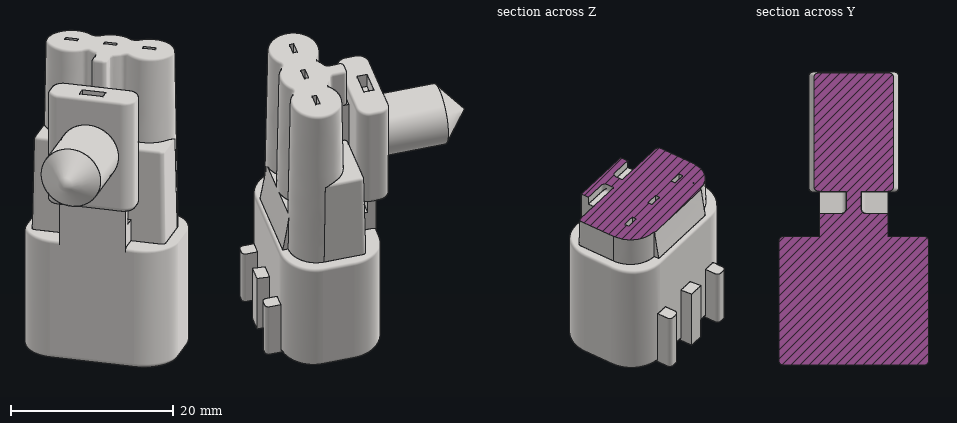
import cadquery as cq
import math

EDGE_R = 0.5
DRAFT_ANGLE = 1.0
DRAFT_SLOPE = math.tan(math.radians(DRAFT_ANGLE))

SHELL_X = 19.5
SHELL_Y = 12.75
SHELL_TOP = 15.95
SHELL_CORNER_R = 4.35
SHELL_FRONT = -SHELL_Y / 2
SHELL_BACK = SHELL_Y / 2

TOP_Z = 39.65
TOWER_H = TOP_Z - SHELL_TOP
LOBE_PITCH = 5.0
LOBE_Y = 1.6
LOBE_TOP_R = 3.17
LOBE_BASE_R = LOBE_TOP_R + TOWER_H * DRAFT_SLOPE
CUSP_BASE_R = 0.28
TERMINAL_SLOT_X = 1.6
TERMINAL_SLOT_Y = 0.55

BLOCK_TOP = 28.35
BLOCK_FRONT = -3.9
BLOCK_X = 2 * (LOBE_PITCH + LOBE_BASE_R)

WEDGE_X = 2 * LOBE_PITCH
WEDGE_TOP = 21.4
WEDGE_TOP_Y = 5.05
WEDGE_MID_Y = 5.35
WEDGE_MID_Z = 19.05
WEDGE_FOOT_Y = SHELL_BACK - EDGE_R

RIB_X = 1.9
RIB_FRONT = -3.65
RIB_STEP_Z = 34.1

PLATE_X = 11.1
PLATE_BACK = -3.8
PLATE_FRONT = -7.93
PLATE_BOTTOM = 21.37
PLATE_TOP = 36.2
PLATE_CORNER_R = 1.45
PLATE_SLOT_X = 3.0
PLATE_SLOT_Y = 1.3
PLATE_SLOT_DEPTH = 2.0
PLATE_SLOT_CENTRE_Y = -6.23
POST_D = 7.65
POST_Z = (PLATE_BOTTOM + PLATE_TOP) / 2
POST_SHOULDER = -15.8
POST_TIP = -19.0

WEB_X = 8.5
WEB_WALL = 1.1
WEB_TOP = PLATE_BOTTOM + EDGE_R
POCKET_FLOOR = 18.75

TAB_BACK = 8.33
TAB_X = 1.63
TAB_OFFSET = 5.1
TAB_TOP = 7.85
LATCH_X = 2.0
LATCH_BACK = 8.0
LATCH_TOP = 8.35
LATCH_DROP = 0.15


def box(x_size, y_min, y_max, z_min, z_max, x_centre=0.0):
    """Box centred on x_centre between the given Y and Z limits."""
    base = cq.Workplane("XY").box(x_size, y_max - y_min, z_max - z_min, centered=(True, False, False))
    return base.translate((x_centre, y_min, z_min))


def make_shell():
    shell = box(SHELL_X, SHELL_FRONT, SHELL_BACK, 0, SHELL_TOP)
    shell = shell.edges("|Z").fillet(SHELL_CORNER_R)
    return shell.faces("<Z or >Z").edges().fillet(EDGE_R)


def make_web():
    """Web flush with the shell front, hollowed behind its front wall on both sides of the rib."""
    web = box(WEB_X, SHELL_FRONT, BLOCK_FRONT + EDGE_R, EDGE_R, WEB_TOP)
    pocket_x = (WEB_X - RIB_X) / 2
    for side in (-1, 1):
        pocket_centre = side * (RIB_X / 2 + pocket_x)
        pocket = box(2 * pocket_x, SHELL_FRONT + WEB_WALL, 0, POCKET_FLOOR, TOP_Z, pocket_centre)
        inner_face = "<X" if side > 0 else ">X"
        pocket = pocket.faces(inner_face).edges("<Y or <Z").fillet(EDGE_R)
        web = web.cut(pocket)
    return web


def make_towers():
    """Drafted row of three round towers whose cusps are rounded."""
    half_pitch = LOBE_PITCH / 2
    reach = LOBE_BASE_R + CUSP_BASE_R
    cusp_y = math.sqrt(reach**2 - half_pitch**2)
    touch_x = half_pitch * LOBE_BASE_R / reach
    touch_y = cusp_y * LOBE_BASE_R / reach
    cusp_bottom = cusp_y - CUSP_BASE_R
    outer_x = LOBE_PITCH - touch_x
    end_x = LOBE_PITCH + LOBE_BASE_R

    outline = (
        cq.Workplane("XY", origin=(0, LOBE_Y, SHELL_TOP))
        .moveTo(-touch_x, touch_y)
        .threePointArc((0, LOBE_BASE_R), (touch_x, touch_y))
        .threePointArc((half_pitch, cusp_bottom), (outer_x, touch_y))
        .threePointArc((end_x, 0), (outer_x, -touch_y))
        .threePointArc((half_pitch, -cusp_bottom), (touch_x, -touch_y))
        .threePointArc((0, -LOBE_BASE_R), (-touch_x, -touch_y))
        .threePointArc((-half_pitch, -cusp_bottom), (-outer_x, -touch_y))
        .threePointArc((-end_x, 0), (-outer_x, touch_y))
        .threePointArc((-half_pitch, cusp_bottom), (-touch_x, touch_y))
        .close()
    )
    return outline.extrude(TOWER_H, taper=DRAFT_ANGLE)


def make_upper_body():
    """Towers and rib, blended together and rounded along the top rim."""
    rib = box(RIB_X, RIB_FRONT, LOBE_Y, SHELL_TOP, TOP_Z)
    rib = rib.edges("|Z and <Y").fillet(EDGE_R)
    body = make_towers().union(rib)
    root_low = (-RIB_X / 2 - 0.25, LOBE_Y - LOBE_BASE_R, SHELL_TOP + EDGE_R)
    root_high = (RIB_X / 2 + 0.25, LOBE_Y - LOBE_BASE_R / 2, TOP_Z - EDGE_R)
    body = body.edges(cq.selectors.BoxSelector(root_low, root_high)).fillet(EDGE_R)
    body = body.faces(">Z").edges().fillet(EDGE_R)
    rib_step = box(RIB_X, PLATE_BACK - EDGE_R, LOBE_Y, SHELL_TOP, RIB_STEP_Z)
    return body.union(rib_step)


def make_block():
    """Drafted block with rounded front corners and rounded top edges."""
    depth = LOBE_Y - BLOCK_FRONT
    block = (
        cq.Workplane("XY", origin=(0, BLOCK_FRONT + depth / 2, SHELL_TOP))
        .rect(BLOCK_X, depth)
        .extrude(BLOCK_TOP - SHELL_TOP, taper=DRAFT_ANGLE)
    )
    front_edges = block.faces("<Y").edges("not <Z")
    side_top_edges = block.faces(">Z").edges("<X or >X")
    return front_edges.add(side_top_edges).fillet(EDGE_R)


def make_wedge():
    profile = (
        cq.Workplane("YZ", origin=(-WEDGE_X / 2, 0, 0))
        .moveTo(LOBE_Y, SHELL_TOP)
        .lineTo(WEDGE_FOOT_Y, SHELL_TOP)
        .threePointArc((WEDGE_MID_Y, WEDGE_MID_Z), (WEDGE_TOP_Y, WEDGE_TOP))
        .lineTo(LOBE_Y, WEDGE_TOP)
        .close()
    )
    return profile.extrude(WEDGE_X)


def make_plate():
    plate = box(PLATE_X, PLATE_FRONT, PLATE_BACK, PLATE_BOTTOM, PLATE_TOP)
    plate = plate.edges("|Z").fillet(PLATE_CORNER_R)
    plate = plate.faces("<Z or >Z").edges().fillet(EDGE_R)
    slot_front = PLATE_SLOT_CENTRE_Y - PLATE_SLOT_Y / 2
    slot_back = PLATE_SLOT_CENTRE_Y + PLATE_SLOT_Y / 2
    slot = box(PLATE_SLOT_X, slot_front, slot_back, PLATE_TOP - PLATE_SLOT_DEPTH, PLATE_TOP)
    return plate.cut(slot)


def make_post():
    profile = (
        cq.Workplane("XY")
        .moveTo(0, PLATE_FRONT)
        .lineTo(POST_D / 2, PLATE_FRONT)
        .lineTo(POST_D / 2, POST_SHOULDER)
        .lineTo(0, POST_TIP)
        .close()
    )
    return profile.revolve(360, (0, 0), (0, 1)).translate((0, 0, POST_Z))


def make_tab(side):
    tab = box(TAB_X, 0, TAB_BACK, 0, TAB_TOP, side * TAB_OFFSET)
    return tab.faces(">Y").edges("|Z").fillet(EDGE_R)


def make_latch():
    """Latch whose top falls slightly towards the shell."""
    profile = (
        cq.Workplane("YZ", origin=(-LATCH_X / 2, 0, 0))
        .lineTo(LATCH_BACK, 0)
        .lineTo(LATCH_BACK, LATCH_TOP)
        .lineTo(SHELL_BACK, LATCH_TOP - LATCH_DROP)
        .lineTo(0, LATCH_TOP - LATCH_DROP)
        .close()
    )
    return profile.extrude(LATCH_X)


def make_terminal_slot(column):
    slot_y = LOBE_Y - TERMINAL_SLOT_Y / 2
    return box(TERMINAL_SLOT_X, slot_y, slot_y + TERMINAL_SLOT_Y, 0, TOP_Z, column * LOBE_PITCH)


result = make_upper_body().union(make_block()).union(make_wedge())
result = result.union(make_shell()).union(make_web())

for tab_side in (-1, 1):
    result = result.union(make_tab(tab_side))
result = result.union(make_latch())

result = result.union(make_plate()).union(make_post())

for slot_column in (-1, 0, 1):
    result = result.cut(make_terminal_slot(slot_column))